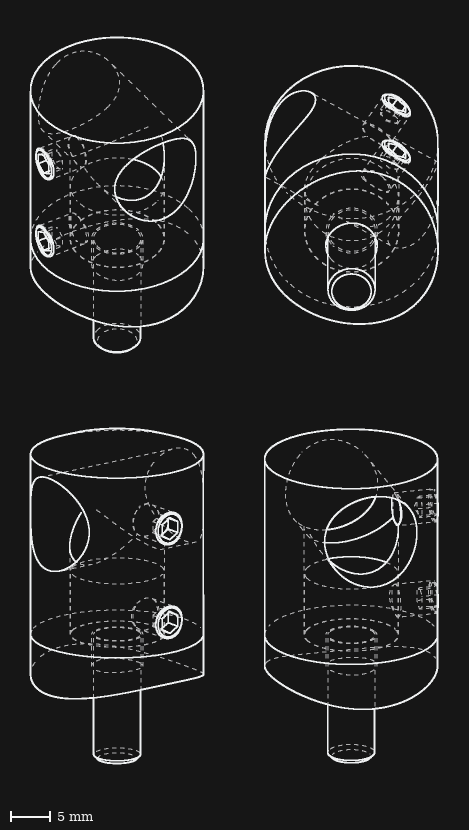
import cadquery as cq
import math

outer_diameter = 22.0
outer_radius = outer_diameter / 2
total_height = 42.45

housing_bottom = 16.43
dome_height = 2.25
dome_base = total_height - dome_height
cross_hole_diameter = 12.2
cross_hole_height = 32.85
bore_diameter = 12.0

head_diameter = 11.9
head_top = 24.8
shank_diameter = 6.0
shank_tip_diameter = 5.0
shank_chamfer_height = 0.5

saddle_hole_diameter = 6.5
saddle_crown = 12.35
saddle_tube_diameter = 60.3

screw_diameter = 4.2
screw_chamfer = 0.2
screw_length = outer_radius - head_diameter / 2
screw_pitch = 12.4
upper_screw_height = cross_hole_height
lower_screw_height = upper_screw_height - screw_pitch
socket_across_flats = 2.5
socket_depth = 2.0
socket_drill_angle = 120.0


def cylinder_up(diameter, bottom, top):
    """Cylinder about the Z axis between two heights."""
    return cq.Workplane("XY").workplane(offset=bottom).circle(diameter / 2).extrude(top - bottom)


def cylinder_from_front(diameter, height, length):
    """Cylinder along +Y that starts on the -Y tangent of the housing."""
    start = cq.Workplane("XZ", origin=(0, -outer_radius, height))
    return start.circle(diameter / 2).extrude(-length)


def make_housing():
    dome_radius = (outer_radius**2 + dome_height**2) / (2 * dome_height)
    half_rim_angle = math.asin(outer_radius / dome_radius) / 2
    dome_middle = (
        dome_radius * math.sin(half_rim_angle),
        total_height - dome_radius * (1 - math.cos(half_rim_angle)),
    )
    body = (
        cq.Workplane("XZ")
        .moveTo(0, housing_bottom)
        .lineTo(outer_radius, housing_bottom)
        .lineTo(outer_radius, dome_base)
        .threePointArc(dome_middle, (0, total_height))
        .close()
        .revolve(360, (0, 0, 0), (0, 1, 0))
    )
    cross_hole = (
        cq.Workplane("YZ", origin=(0, 0, cross_hole_height))
        .circle(cross_hole_diameter / 2)
        .extrude(outer_diameter, both=True)
    )
    body = body.cut(cross_hole)
    body = body.cut(cylinder_up(bore_diameter, housing_bottom, cross_hole_height))
    for height in (lower_screw_height, upper_screw_height):
        body = body.cut(cylinder_from_front(screw_diameter, height, outer_radius))
    return body


def make_saddle():
    ring = cylinder_up(outer_diameter, 0, housing_bottom)
    tube = (
        cq.Workplane("XZ", origin=(0, 0, saddle_crown - saddle_tube_diameter / 2))
        .circle(saddle_tube_diameter / 2)
        .extrude(outer_diameter, both=True)
    )
    hole = cylinder_up(saddle_hole_diameter, 0, housing_bottom)
    return ring.cut(tube).cut(hole)


def make_pin():
    tip_inset = (shank_diameter - shank_tip_diameter) / 2
    shank = cylinder_up(shank_diameter, 0, housing_bottom)
    shank = shank.faces("<Z").edges().chamfer(shank_chamfer_height, tip_inset)
    return shank.union(cylinder_up(head_diameter, housing_bottom, head_top))


def make_set_screw(height, drilled_socket):
    """Set screw with a hexagon socket, ending flat or in a drill point."""
    screw = cylinder_from_front(screw_diameter, height, screw_length)
    screw = screw.faces("<Y").edges().chamfer(screw_chamfer)
    across_corners = socket_across_flats / math.cos(math.radians(30))
    socket = (
        cq.Workplane("XZ", origin=(0, -outer_radius, height))
        .transformed(rotate=(0, 0, 90))
        .polygon(6, across_corners)
        .extrude(-socket_depth)
    )
    screw = screw.cut(socket)
    if drilled_socket:
        drill_radius = socket_across_flats / 2
        drill_point_depth = drill_radius / math.tan(math.radians(socket_drill_angle / 2))
        drill_start = cq.Vector(0, socket_depth - outer_radius, height)
        drill_point = cq.Solid.makeCone(drill_radius, 0, drill_point_depth, drill_start, cq.Vector(0, 1, 0))
        screw = screw.cut(cq.Workplane(drill_point))
    return screw


housing = make_housing()
saddle = make_saddle()
pin = make_pin()
set_screws = [
    make_set_screw(height, drilled_socket).val()
    for height, drilled_socket in ((lower_screw_height, False), (upper_screw_height, True))
]

result = cq.Compound.makeCompound([housing.val(), saddle.val(), pin.val(), *set_screws])